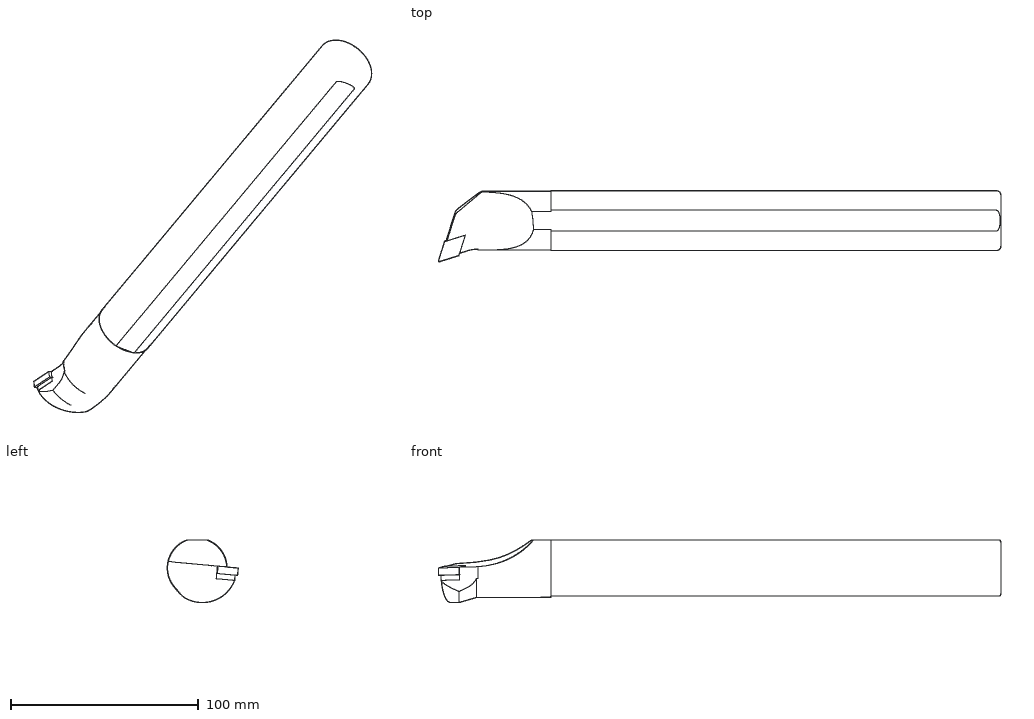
import cadquery as cq
import math


overall_length = 300.0
shank_diameter = 32.0
shank_radius = shank_diameter / 2
shank_height = 30.0
flat_z = shank_height / 2
shank_end_fillet = 2.5

shank_start_x = 60.0
neck_radius = 15.75

head_radius = 18.5
head_center_y = head_radius - neck_radius
taper_start_x = 11.0
taper_end_x = 20.3

cutting_y = -22.0
rake_angle = 5.2

insert_angle = 55.0
insert_edge = 11.6
insert_thickness = 3.97
nose_radius = 0.4
edge_lead_angle = (90.0 - insert_angle) / 2
seat_thickness = 2.8
seat_inset = 1.0
holder_inset = 1.1

front_corner_distance = 26.0
chamfer_angle = 40.0
chamfer_corner_fillet = 4.0
side_flat_end_x = 15.8
side_round_radius = 18.0

scoop_axis_x = -5.0
scoop_floor_radius = 28.0
scoop_rim_radius = 36.0

clearance = 60.0

lead = math.radians(edge_lead_angle)
half_insert = math.radians(insert_angle / 2)

nose_setback = nose_radius * (math.sqrt(0.5) / math.sin(half_insert) - 1)
tip_x = -nose_setback
tip_y = cutting_y - nose_setback

rake_plane = cq.Plane(origin=(tip_x, tip_y, 0)).rotated((rake_angle, 0, 0))


def tip_point(inset):
    """Corner where the two flanks meet, each set back by inset from the insert edges."""
    shift = inset / math.sin(half_insert) * math.sqrt(0.5)
    return shift, shift


def rhombus(inset):
    """Insert outline on the rake plane with its two cutting flanks set back by inset."""
    edge = insert_edge - inset / math.sin(2 * half_insert)
    flank_x, flank_v = tip_point(inset)
    long_step = edge * math.cos(lead)
    short_step = edge * math.sin(lead)
    return [
        (flank_x, flank_v),
        (flank_x + long_step, flank_v + short_step),
        (flank_x + long_step + short_step, flank_v + long_step + short_step),
        (flank_x + short_step, flank_v + long_step),
    ]


def rhombus_prism(inset, top, thickness):
    """Rhombic plate whose top lies at local height top."""
    return (
        cq.Workplane(rake_plane)
        .workplane(offset=top - thickness)
        .polyline(rhombus(inset))
        .close()
        .extrude(thickness)
    )


def make_insert():
    plate = rhombus_prism(0, 0, insert_thickness)
    nose_edge = cq.selectors.NearestToPointSelector((tip_x, tip_y, -insert_thickness / 2))
    return plate.edges(nose_edge).fillet(nose_radius)


def make_shank():
    length = overall_length - shank_start_x
    shank = (
        cq.Workplane("YZ", origin=(shank_start_x, 0, 0))
        .circle(shank_radius)
        .extrude(length)
        .faces(">X")
        .edges()
        .fillet(shank_end_fillet)
    )
    envelope = cq.Workplane("XY").box(2 * overall_length, 2 * shank_diameter, shank_height)
    return shank.intersect(envelope)


def make_neck():
    neck = (
        cq.Workplane("YZ", origin=(taper_start_x, 0, 0))
        .circle(neck_radius)
        .extrude(shank_start_x - taper_start_x)
    )
    above_flat = cq.Workplane("XY", origin=(0, 0, flat_z)).rect(overall_length, clearance).extrude(clearance)
    return neck.cut(above_flat)


def make_head_blank():
    """Eccentric cylinder followed by an oblique cone that runs into the neck."""
    cylinder = cq.Workplane("YZ").center(-head_center_y, 0).circle(head_radius).extrude(taper_start_x)
    taper = (
        cq.Workplane("YZ", origin=(taper_start_x, 0, 0))
        .center(-head_center_y, 0)
        .circle(head_radius)
        .workplane(offset=taper_end_x - taper_start_x)
        .center(head_center_y, 0)
        .circle(neck_radius)
        .loft(ruled=True)
    )
    return cylinder.union(taper)


def make_head_envelope():
    """Prism square to the rake face that bounds the holder in plan."""
    flank_x, flank_v = tip_point(holder_inset)
    corner = (flank_x + (front_corner_distance - flank_v) * math.tan(lead), front_corner_distance)
    chamfer_slope = math.tan(math.radians(chamfer_angle))
    chamfer_end = (corner[0] + clearance, corner[1] + clearance * chamfer_slope)

    side_v = flank_v + (side_flat_end_x - flank_x) * math.tan(lead)
    round_end_x = side_flat_end_x + side_round_radius * math.sin(lead)
    round_center_v = side_v - side_round_radius * math.cos(lead)
    round_end_v = round_center_v + side_round_radius
    round_mid = (
        round_end_x - side_round_radius * math.sin(lead / 2),
        round_center_v + side_round_radius * math.cos(lead / 2),
    )

    prism = (
        cq.Workplane(rake_plane)
        .workplane(offset=-clearance)
        .moveTo(flank_x, flank_v)
        .lineTo(side_flat_end_x, side_v)
        .threePointArc(round_mid, (round_end_x, round_end_v))
        .lineTo(round_end_x, -clearance)
        .lineTo(overall_length + clearance, -clearance)
        .lineTo(overall_length + clearance, chamfer_end[1])
        .lineTo(*chamfer_end)
        .lineTo(*corner)
        .close()
        .extrude(2 * clearance)
    )
    corner_edge = cq.selectors.NearestToPointSelector(rake_plane.toWorldCoords((*corner, 0)))
    return prism.edges(corner_edge).fillet(chamfer_corner_fillet)


def make_scoop():
    """Disc with a concave rim, revolved about the rake-face normal."""
    scoop_plane = cq.Plane(
        origin=rake_plane.toWorldCoords((scoop_axis_x, -tip_y, 0)),
        xDir=rake_plane.xDir,
        normal=-rake_plane.yDir,
    )
    rim_diagonal = scoop_rim_radius * math.sqrt(0.5)
    rim_reach = scoop_floor_radius + scoop_rim_radius
    return (
        cq.Workplane(scoop_plane)
        .lineTo(scoop_floor_radius, 0)
        .threePointArc(
            (scoop_floor_radius + rim_diagonal, scoop_rim_radius - rim_diagonal),
            (rim_reach, scoop_rim_radius),
        )
        .lineTo(0, scoop_rim_radius)
        .close()
        .revolve(360, (0, 0), (0, 1))
    )


def make_holder(insert):
    head = make_head_blank().union(make_neck())
    head = head.intersect(make_head_envelope()).cut(make_scoop())
    seat = rhombus_prism(seat_inset, -insert_thickness, seat_thickness)
    return head.union(make_shank()).union(seat).cut(insert)


insert = make_insert()
holder = make_holder(insert)
result = cq.Compound.makeCompound([holder.val(), insert.val()])